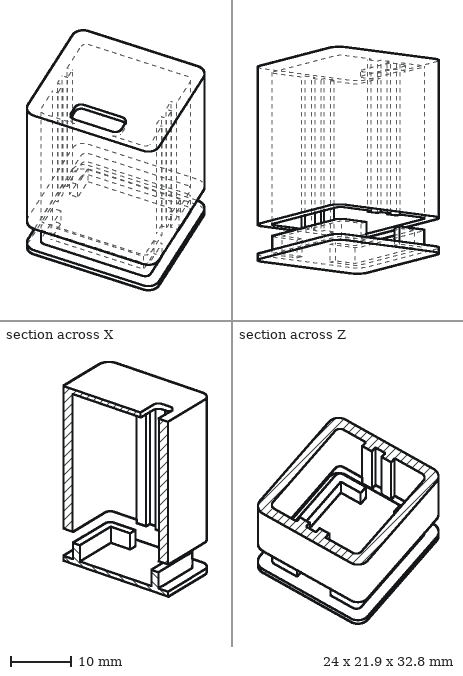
import cadquery as cq

width = 24.0
depth = 21.9
total_height = 32.75

wall = 2.0
thin_wall = wall / 2
outer_corner_radius = wall
inner_corner_radius = thin_wall
inner_width = width - 2 * wall
inner_depth = depth - 2 * wall

plate_thickness = thin_wall
lip_height = 3.0
lip_thickness = 1.5
lip_gap = 6.8
cover_clearance = 2.0

housing_bottom = plate_thickness + lip_height + cover_clearance
housing_height = total_height - housing_bottom
cavity_height = housing_height - thin_wall

port_width = 9.2
port_depth = 3.75
port_corner_radius = 1.15
port_center_y = -inner_depth / 2 + port_depth / 2

rib_projection = thin_wall
rib_width = 2.0
rib_spacing = 3.93
rib_pair_center_y = -0.52


def rounded_block(size_x, size_y, height, radius, bottom):
    """Upright block with rounded vertical edges, centred on the Z axis."""
    block = cq.Workplane("XY").box(size_x, size_y, height, centered=(True, True, False))
    return block.edges("|Z").fillet(radius).translate((0, 0, bottom))


def make_guide_rib(side, center_y):
    """Guide rib standing against the side wall, from the cavity mouth to the roof."""
    rib = cq.Workplane("XY").box(rib_projection, rib_width, cavity_height, centered=(True, True, False))
    center_x = side * (inner_width - rib_projection) / 2
    return rib.translate((center_x, center_y, housing_bottom))


def make_housing():
    """Box open at the bottom, with a roof opening and guide ribs inside."""
    shell = rounded_block(width, depth, housing_height, outer_corner_radius, housing_bottom)
    cavity = rounded_block(inner_width, inner_depth, cavity_height, inner_corner_radius, housing_bottom)
    for side in (-1, 1):
        for offset in (-rib_spacing / 2, rib_spacing / 2):
            cavity = cavity.cut(make_guide_rib(side, rib_pair_center_y + offset))
    roof_bottom = housing_bottom + cavity_height
    port = rounded_block(port_width, port_depth, thin_wall, port_corner_radius, roof_bottom)
    return shell.cut(cavity).cut(port.translate((0, port_center_y, 0)))


def make_cover():
    """Flat plate carrying a lip that is interrupted on the two X sides."""
    plate = rounded_block(width, depth, plate_thickness, outer_corner_radius, 0)
    lip = rounded_block(inner_width, inner_depth, lip_height, inner_corner_radius, plate_thickness)
    lip_opening = cq.Workplane("XY").box(
        inner_width - 2 * lip_thickness,
        inner_depth - 2 * lip_thickness,
        lip_height,
        centered=(True, True, False),
    )
    side_gaps = cq.Workplane("XY").box(inner_width, lip_gap, lip_height, centered=(True, True, False))
    removed = lip_opening.union(side_gaps).translate((0, 0, plate_thickness))
    return plate.union(lip.cut(removed))


housing = make_housing()
cover = make_cover()

result = cq.Compound.makeCompound([housing.val(), cover.val()])